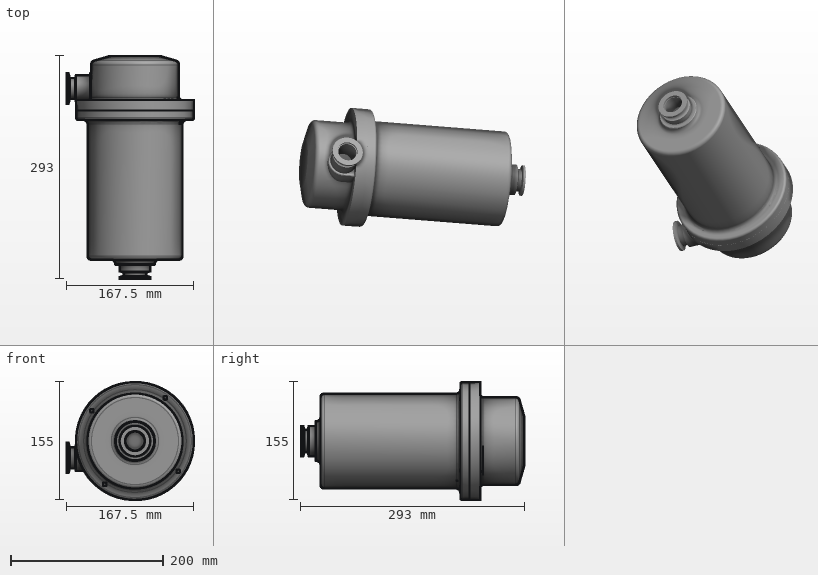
import cadquery as cq
import math


body_radius = 62.5
body_start = 25.5
body_end_fillet = 5.3
body_root_fillet = 5.0
flange_radius = 155.0 / 2
flange_start = 209.0
flange_seam = 221.2
flange_seam_step = 0.15
flange_end = 235.3
flange_fillet = 3.2
head_radius = 57.7
head_root_fillet = 3.2
head_shoulder = 285.7
head_shoulder_fillet = 6.0
head_flat_radius = 32.2
overall_length = 293.0
overall_width = 167.5

rim_radius = 40.0 / 2
rim_width = 3.0
taper_slope = math.tan(math.radians(15))
counterbore_radius = 26.0 / 2
counterbore_depth = 3.0

outlet_neck_radius = 15.0
outlet_bore_radius = 25.0 / 2
outlet_tube_start = 10.3
collar_start = 18.8
collar_radius = 26.0
collar_chamfer = 1.0
collar_root_fillet = 5.0

port_face_x = flange_radius - overall_width
port_y = 250.2
port_z = -22.0
port_neck_radius = 14.0
port_bore_radius = 12.0
boss_face_x = -flange_radius
boss_radius = 35.0 / 2
pad_face_x = -59.2
pad_radius = 20.2
pad_chamfer = 1.0

spot_count = 4
spot_first_angle = 55
spot_radius = 5.0 / 2
spot_depth = 0.15
spot_circle_radius = 69.1


def turn(outline):
    """Close a half outline drawn as (radius, position) and turn it about the Y axis."""
    return outline.close().revolve(360, (0, 0, 0), (0, 1, 0))


def taper_length(inner_radius, outer_radius):
    """Axial length of the steep cone that joins a neck to a wider cylinder."""
    return (outer_radius - inner_radius) * taper_slope


def make_housing():
    """Body, flange and domed head turned as one outline."""
    lower_flange_radius = flange_radius - flange_seam_step
    dome_angle = math.atan2(overall_length - head_shoulder, head_radius - head_flat_radius)
    fillet_centre_radius = head_radius - head_shoulder_fillet
    fillet_centre_y = head_shoulder - head_shoulder_fillet * math.tan(math.pi / 4 - dome_angle / 2)
    dome_edge = (
        fillet_centre_radius + head_shoulder_fillet * math.sin(dome_angle),
        fillet_centre_y + head_shoulder_fillet * math.cos(dome_angle),
    )
    return turn(
        cq.Workplane("XY")
        .moveTo(0, body_start)
        .lineTo(body_radius - body_end_fillet, body_start)
        .radiusArc((body_radius, body_start + body_end_fillet), -body_end_fillet)
        .lineTo(body_radius, flange_start - body_root_fillet)
        .radiusArc((body_radius + body_root_fillet, flange_start), body_root_fillet)
        .lineTo(lower_flange_radius - flange_fillet, flange_start)
        .radiusArc((lower_flange_radius, flange_start + flange_fillet), -flange_fillet)
        .lineTo(lower_flange_radius, flange_seam)
        .lineTo(flange_radius, flange_seam)
        .lineTo(flange_radius, flange_end)
        .lineTo(head_radius + head_root_fillet, flange_end)
        .radiusArc((head_radius, flange_end + head_root_fillet), head_root_fillet)
        .lineTo(head_radius, fillet_centre_y)
        .radiusArc(dome_edge, -head_shoulder_fillet)
        .lineTo(head_flat_radius, overall_length)
        .lineTo(0, overall_length)
    )


def make_outlet():
    """Collar, tube and clamp rim with the outlet bore, closed at the body end."""
    neck_start = rim_width + taper_length(outlet_neck_radius, rim_radius)
    neck_end = outlet_tube_start - taper_length(outlet_neck_radius, rim_radius)
    return turn(
        cq.Workplane("XY")
        .moveTo(counterbore_radius, 0)
        .lineTo(rim_radius, 0)
        .lineTo(rim_radius, rim_width)
        .lineTo(outlet_neck_radius, neck_start)
        .lineTo(outlet_neck_radius, neck_end)
        .lineTo(rim_radius, outlet_tube_start)
        .lineTo(rim_radius, collar_start)
        .lineTo(collar_radius - collar_chamfer, collar_start)
        .lineTo(collar_radius, collar_start + collar_chamfer)
        .lineTo(collar_radius, body_start - collar_root_fillet)
        .radiusArc((collar_radius + collar_root_fillet, body_start), collar_root_fillet)
        .lineTo(outlet_bore_radius, body_start)
        .lineTo(outlet_bore_radius, counterbore_depth)
        .lineTo(counterbore_radius, counterbore_depth)
    )


def make_pad():
    """Round-topped pad that carries the port boss and stands on the flange."""
    height = port_y - flange_end
    return (
        cq.Workplane("YZ", origin=(pad_face_x, port_y, port_z))
        .moveTo(-height, -pad_radius)
        .lineTo(0, -pad_radius)
        .threePointArc((pad_radius, 0), (0, pad_radius))
        .lineTo(-height, pad_radius)
        .close()
        .extrude(-pad_face_x)
        .faces("<X")
        .chamfer(pad_chamfer)
    )


def make_port():
    """Clamp rim, neck and boss, turned about the port axis and reaching the head."""
    neck_start = rim_width + taper_length(port_neck_radius, rim_radius)
    boss_start = boss_face_x - port_face_x
    neck_end = boss_start - taper_length(port_neck_radius, boss_radius)
    port_length = -port_face_x
    outline = (
        cq.Workplane("XY", origin=(port_face_x, port_y, port_z))
        .lineTo(0, rim_radius)
        .lineTo(rim_width, rim_radius)
        .lineTo(neck_start, port_neck_radius)
        .lineTo(neck_end, port_neck_radius)
        .lineTo(boss_start, boss_radius)
        .lineTo(port_length, boss_radius)
        .lineTo(port_length, 0)
        .close()
    )
    return outline.revolve(360, (0, 0, 0), (1, 0, 0))


def make_port_bore():
    """Stepped bore of the port, ending on the cylindrical wall of the head."""
    face = cq.Workplane("YZ", origin=(port_face_x, port_y, port_z))
    bore = face.circle(port_bore_radius).extrude(-port_face_x)
    counterbore = face.circle(counterbore_radius).extrude(counterbore_depth)
    head_wall = (
        cq.Workplane("XZ", origin=(0, overall_length, 0))
        .circle(head_radius)
        .extrude(overall_length)
    )
    return bore.union(counterbore).cut(head_wall)


def make_flange_spots():
    """Cutters for the round recesses, passing through the fillet at the body root."""
    return (
        cq.Workplane("XZ", origin=(0, flange_start + spot_depth, 0))
        .polarArray(spot_circle_radius, spot_first_angle, 360, spot_count)
        .circle(spot_radius)
        .extrude(body_root_fillet + spot_depth)
    )


housing = make_housing().union(make_outlet())
result = (
    housing.union(make_pad())
    .union(make_port())
    .cut(make_port_bore())
    .cut(make_flange_spots())
)